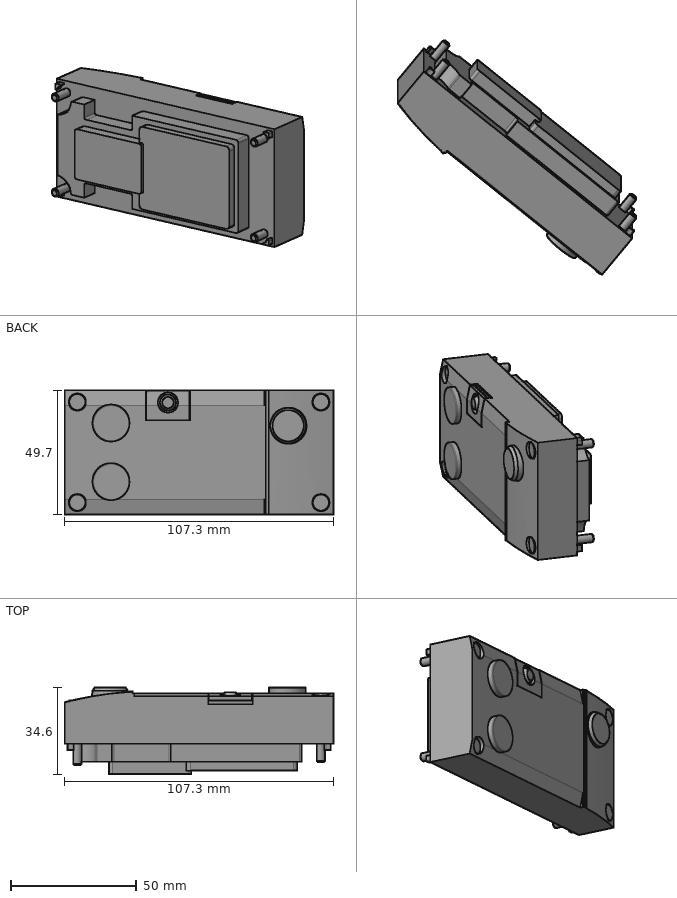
import cadquery as cq


length = 107.3
width = 49.7
half_width = width / 2
hood_end_x = 27.1
deck_start_x = 27.7
hood_low_y = 16.6
hood_mid_x = 14.5
hood_mid_y = 19.5
hood_high_y = 20.7
lip_start_x = 26.0
lip_top_y = 20.9
deck_edge_y = 19.0
deck_top_y = 20.3
deck_flat_z = 18.8

socket_top_y = 22.5
socket_diameter = 14.8
socket_root_y = 16.1
socket_x = 88.8
socket_z = 11.7
socket_edge_radius = 0.3
hood_socket_x = 18.1
hood_socket_z = 10.6
hood_socket_top_diameter = 12.5
hood_socket_shoulder_diameter = 14.2
hood_socket_taper_y = 18.8
hood_socket_shoulder_y = 21.1

base_left_x = 5.7
base_right_x = 94.6
base_half_width = 19.6
base_depth = 7.2
base_corner_radius = 1.1
base_scallop_radius = 7.3
base_scallop_edge_radius = 0.5
side_notch_left_x = 18.8
side_notch_right_x = 42.4
side_notch_z = 13.4
side_notch_radius = 0.9
small_block_left_x = 17.6
small_block_right_x = 50.5
small_block_width = 21.1
small_block_depth = 12.1
small_block_radius = 1.3
large_block_left_x = 48.5
large_block_right_x = 92.8
large_block_width = 34.8
large_block_depth = 10.7
large_block_radius = 1.6

screw_inset_x = 5.0
screw_left_x = screw_inset_x
screw_right_x = length - screw_inset_x
screw_z = 20.1
shank_diameter = 3.4
tip_chamfer = 0.5
head_diameter = 6.4
head_height = 3.4
screw_length = 26.0
left_screw_tip_y = -8.5
right_screw_tip_y = -7.3
head_recess_diameter = 6.9

peg_inset = 1.1
peg_size = 2.6
peg_depth = 2.5
peg_corner_radius = 0.4
peg_scallop_diameter = 6.9

pocket_left_x = 57.2
pocket_right_x = 75.0
pocket_floor_y = 17.2
cover_gap = 0.3
cover_left_x = pocket_left_x + cover_gap
cover_right_x = pocket_right_x - cover_gap
cover_bottom_y = pocket_floor_y + cover_gap
cover_inner_z = 12.9
cover_setback = 0.2
pry_slot_y = 15.9
pry_slot_depth = 0.8

cover_screw_x = (cover_left_x + cover_right_x) / 2
cover_screw_z = 19.9
cover_screw_base_y = 18.7
cover_screw_top_y = 20.6
cover_screw_base_diameter = 6.4
cover_screw_top_diameter = 4.5
cover_recess_diameter = 8.0

tall = 32.2


def box(x_range, y_range, z_range):
    """Box between the given pairs of limits."""
    size = [high - low for low, high in (x_range, y_range, z_range)]
    corner = (x_range[0], y_range[0], z_range[0])
    return cq.Workplane("XY").box(*size, centered=False).translate(corner)


def cylinder(x, z, diameter, bottom_y, top_y):
    """Cylinder along Y between two heights."""
    return cq.Workplane(cq.Solid.makeCylinder(
        diameter / 2, top_y - bottom_y, cq.Vector(x, bottom_y, z), cq.Vector(0, 1, 0)))


def turned(x, z, profile):
    """Body of revolution about a Y axis from (radius, height) points."""
    return cq.Workplane("XY").polyline(profile).close().revolve(
        360, (0, 0, 0), (0, 1, 0)).translate((x, 0, z))


def crowned_deck(start_x, end_x):
    """Piece of the deck, flat in the middle and sloping down to each long edge."""
    return (
        cq.Workplane("YZ", origin=(start_x, 0, 0))
        .moveTo(0, -half_width)
        .lineTo(deck_edge_y, -half_width)
        .lineTo(deck_top_y, -deck_flat_z)
        .lineTo(deck_top_y, deck_flat_z)
        .lineTo(deck_edge_y, half_width)
        .lineTo(0, half_width)
        .close()
        .extrude(end_x - start_x)
    )


def sloped_hood():
    """Low end of the housing: an arc along the length, then a lip and a narrow ledge at the high end."""
    return (
        cq.Workplane("XY", origin=(0, 0, -half_width))
        .lineTo(0, hood_low_y)
        .threePointArc((hood_mid_x, hood_mid_y), (lip_start_x, hood_high_y))
        .lineTo(lip_start_x, lip_top_y)
        .lineTo(hood_end_x, lip_top_y)
        .lineTo(hood_end_x, deck_top_y)
        .lineTo(deck_start_x, deck_top_y)
        .lineTo(deck_start_x, 0)
        .close()
        .extrude(width)
    )


def deck_socket(side):
    """Round socket on the deck, with a rounded rim."""
    socket = cylinder(socket_x, side * socket_z, socket_diameter, socket_root_y, socket_top_y)
    return socket.faces(">Y").edges().fillet(socket_edge_radius)


def hood_socket():
    """Single socket on the hood, tapering in two stages to its top."""
    return turned(hood_socket_x, hood_socket_z, [
        (0, socket_root_y),
        (socket_diameter / 2, socket_root_y),
        (socket_diameter / 2, hood_socket_taper_y),
        (hood_socket_shoulder_diameter / 2, hood_socket_shoulder_y),
        (hood_socket_top_diameter / 2, socket_top_y),
        (0, socket_top_y),
    ])


def face_block(left_x, right_x, block_width, depth, radius):
    """Rounded rectangular block standing out from the mounting face."""
    block = box((left_x, right_x), (-depth, 0), (-block_width / 2, block_width / 2))
    return block.edges("|Y").fillet(radius)


def base_block():
    """Widest block, notched on both sides and scalloped around the left screws."""
    base = box((base_left_x, base_right_x), (-base_depth, 0), (-base_half_width, base_half_width))
    base = base.edges("|Y and >X").fillet(base_corner_radius)
    for side in (-1, 1):
        notch_z = sorted((side * side_notch_z, side * tall))
        notch = box((side_notch_left_x, side_notch_right_x), (-base_depth, 0), notch_z)
        base = base.cut(notch.edges("|Y").fillet(side_notch_radius))
        base = base.cut(cylinder(screw_left_x, side * screw_z, 2 * base_scallop_radius, -base_depth, 0))
    scallop_edges = base.faces("<Z or >Z").edges("|Y").edges("<X")
    return base.newObject(scallop_edges.vals()).fillet(base_scallop_edge_radius)


def corner_peg(end_x, screw_x, side):
    """Square peg with a round bite around the neighbouring screw."""
    inward = 1 if screw_x > end_x else -1
    peg_x = sorted((end_x + inward * peg_inset, end_x + inward * (peg_inset + peg_size)))
    outer_z = half_width - peg_inset
    peg_z = sorted((side * outer_z, side * (outer_z - peg_size)))
    peg = box(peg_x, (-peg_depth, 0), peg_z).edges("|Y").fillet(peg_corner_radius)
    return peg.cut(cylinder(screw_x, side * screw_z, peg_scallop_diameter, -peg_depth, 0))


def cover_blank():
    """Cover before the recess for its screw is cut."""
    limits = box((cover_left_x, cover_right_x), (cover_bottom_y, tall),
                 (cover_inner_z, half_width - cover_setback))
    return crowned_deck(cover_left_x, cover_right_x).intersect(limits)


def make_cover():
    """Cover whose outer face continues the deck, recessed around its screw."""
    recess = cylinder(cover_screw_x, cover_screw_z, cover_recess_diameter, cover_screw_base_y, tall)
    return cover_blank().cut(recess)


def make_cover_screw():
    """Tapered screw head standing in the recess of the cover."""
    return turned(cover_screw_x, cover_screw_z, [
        (0, cover_screw_base_y),
        (cover_screw_base_diameter / 2, cover_screw_base_y),
        (cover_screw_top_diameter / 2, cover_screw_top_y),
        (0, cover_screw_top_y),
    ])


def make_screw(x, z, tip_y):
    """Cylinder-head screw with a chamfered tip."""
    seat_y = tip_y + screw_length - head_height
    shank = cylinder(x, z, shank_diameter, tip_y, seat_y).faces("<Y").chamfer(tip_chamfer)
    return shank.union(cylinder(x, z, head_diameter, seat_y, seat_y + head_height))


def screw_cutter(x, z, tip_y):
    """Close-fitting hole and head recess for one screw."""
    seat_y = tip_y + screw_length - head_height
    hole = cylinder(x, z, shank_diameter, 0, seat_y)
    return hole.union(cylinder(x, z, head_recess_diameter, seat_y, tall))


screw_places = [
    (x, side * screw_z, tip_y)
    for x, tip_y in ((screw_left_x, left_screw_tip_y), (screw_right_x, right_screw_tip_y))
    for side in (-1, 1)
]


def make_housing():
    """Housing with its sockets, blocks and pegs, cut for the screws and the cover."""
    housing = sloped_hood().union(crowned_deck(deck_start_x, length))
    housing = housing.union(hood_socket())
    housing = housing.union(base_block())
    housing = housing.union(face_block(
        small_block_left_x, small_block_right_x, small_block_width, small_block_depth, small_block_radius))
    housing = housing.union(face_block(
        large_block_left_x, large_block_right_x, large_block_width, large_block_depth, large_block_radius))
    for side in (-1, 1):
        housing = housing.union(deck_socket(side))
        housing = housing.union(corner_peg(0, screw_left_x, side))
        housing = housing.union(corner_peg(length, screw_right_x, side))
    for place in screw_places:
        housing = housing.cut(screw_cutter(*place))
    cover_pocket = box((pocket_left_x, pocket_right_x), (pocket_floor_y, tall), (cover_inner_z, tall))
    pry_slot = box((pocket_left_x, pocket_right_x), (pry_slot_y, pocket_floor_y),
                   (half_width - pry_slot_depth, tall))
    return housing.cut(cover_pocket).cut(pry_slot)


housing = make_housing()
cover = make_cover()
cover_screw = make_cover_screw()
screws = [make_screw(*place) for place in screw_places]

result = cq.Compound.makeCompound([
    housing.solids().val(),
    cover.solids().val(),
    cover_screw.solids().val(),
    *[screw.solids().val() for screw in screws],
])